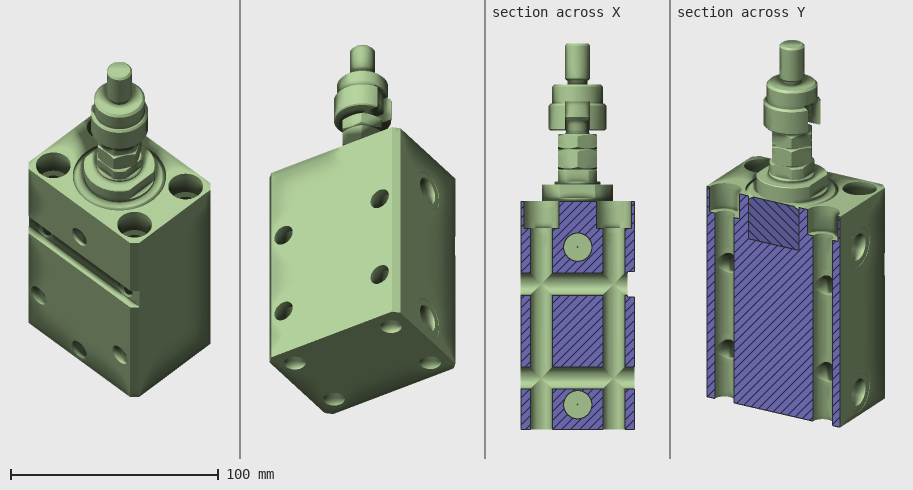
import cadquery as cq
import math


block_x = 75.0
block_y = 55.0
block_top = 110.1
block_chamfer = 3.0
bolt_x = 27.5
bolt_y = 17.5
bolt_hole_d = 10.5
counterbore_d = 16.7
counterbore_depth = 13.0
key_groove_z = 70.1
key_groove_height = 11.9
key_groove_depth = 3.3
lower_cross_hole_z = 25.0
upper_port_z = 88.0
lower_port_z = 12.0
port_d = 13.4
port_depth = 11.2
spotface_d = 20.0
spotface_depth = 0.2
lower_plug_z = 7.5
plug_d = 10.0
plug_depth = 2.0
channel_d = 1.0
channel_depth = 1.9

gland_d = 45.0
gland_depth = 22.3
gland_chamfer = 1.7
boss_d = 34.5
boss_top = 118.1
boss_chamfer = 0.4
boss_flats = 30.0
boss_flats_z = 111.6

rod_d = 22.3
rod_shoulder_z = 119.6
rod_shoulder_chamfer = 0.5
rod_end_d = 21.8
rod_end_chamfer = 0.5

wrench_size = 19.0
hex_sides = 6
hex_face_d = 17.9
stud_bottom = 125.4
hex_split_z = 135.0
hex_top = 142.3
hex_chamfer_angle = 30
neck_d = 11.2
neck_foot_d = 12.3
neck_foot_height = 1.0
head_bottom = 149.0
head_top = 158.1
head_d = 20.5
head_chamfer = 1.5

collar_bottom = 144.2
collar_top = 157.0
collar_d = 27.7
collar_top_chamfer = 1.0
collar_bottom_chamfer = 0.5
cap_top = 166.3
cap_d = 24.5
cap_chamfer = 1.1
slot_width = 12.0
undercut_d = 9.7
undercut_top = 168.1
thread_d = 12.0
thread_chamfer = 1.0
coupler_top = 186.0


def cylinder(diameter, bottom, top):
    """Vertical cylinder on the common axis."""
    return cq.Workplane("XY").workplane(offset=bottom).circle(diameter / 2).extrude(top - bottom)


def cone(bottom_d, top_d, bottom, top):
    """Vertical cone frustum on the common axis."""
    frustum = cq.Solid.makeCone(bottom_d / 2, top_d / 2, top - bottom, pnt=cq.Vector(0, 0, bottom))
    return cq.Workplane("XY").newObject([frustum])


def drill_front(x, z, diameter, start, depth):
    """Cutter along +Y, starting at a given depth below the -Y face."""
    plane = cq.Plane(origin=(x, start - block_y / 2, z), xDir=(1, 0, 0), normal=(0, 1, 0))
    return cq.Workplane(plane).circle(diameter / 2).extrude(depth)


def drill_side(z, diameter, start, depth):
    """Cutter along +X on y = 0, starting at a given depth below the -X face."""
    plane = cq.Plane(origin=(start - block_x / 2, 0, z), xDir=(0, 1, 0), normal=(1, 0, 0))
    return cq.Workplane(plane).circle(diameter / 2).extrude(depth)


def make_block():
    block = cq.Workplane("XY").box(block_x, block_y, block_top, centered=(True, True, False))
    block = block.edges("|Z").chamfer(block_chamfer)

    groove = cq.Workplane("XY").box(block_x, 2 * key_groove_depth, key_groove_height)
    block = block.cut(groove.translate((0, -block_y / 2, key_groove_z)))

    bolt_places = [(x, y) for x in (-bolt_x, bolt_x) for y in (-bolt_y, bolt_y)]
    block = (
        block.faces(">Z").workplane(origin=(0, 0, block_top))
        .pushPoints(bolt_places)
        .cboreHole(bolt_hole_d, counterbore_d, counterbore_depth)
    )

    for x in (-bolt_x, bolt_x):
        for z in (lower_cross_hole_z, key_groove_z):
            block = block.cut(drill_front(x, z, bolt_hole_d, 0, block_y))

    for z in (lower_port_z, upper_port_z):
        block = block.cut(drill_side(z, spotface_d, 0, spotface_depth))
        block = block.cut(drill_side(z, port_d, 0, port_depth))
        block = block.cut(drill_side(z, channel_d, port_depth, channel_depth))

    for z in (lower_plug_z, upper_port_z):
        block = block.cut(drill_front(0, z, plug_d, 0, plug_depth))
        block = block.cut(drill_front(0, z, channel_d, plug_depth, channel_depth))

    return block.cut(cylinder(gland_d, block_top - gland_depth, block_top))


def make_gland():
    gland = cylinder(gland_d, block_top - gland_depth, block_top)
    gland = gland.faces(">Z").chamfer(gland_chamfer)
    boss = cylinder(boss_d, block_top, boss_top).faces(">Z").chamfer(boss_chamfer)
    gland = gland.union(boss)

    for side in (-1, 1):
        flat_cut = cq.Workplane("XY").box(boss_d, boss_d, boss_top, centered=(True, True, False))
        gland = gland.cut(flat_cut.translate((side * (boss_flats + boss_d) / 2, 0, boss_flats_z)))

    return gland.cut(cylinder(rod_d, block_top - gland_depth, boss_top))


def make_rod():
    rod = cylinder(rod_d, block_top - gland_depth, rod_shoulder_z)
    rod = rod.faces(">Z").chamfer(rod_shoulder_chamfer)

    rod_end = cylinder(rod_end_d, rod_shoulder_z, stud_bottom).faces(">Z").chamfer(rod_end_chamfer)
    square = cq.Workplane("XY").rect(wrench_size, wrench_size).extrude(stud_bottom)
    return rod.union(rod_end.intersect(square))


def make_hexagon(bottom, top):
    """Hexagon with corners on the X axis and both ends turned to a cone."""
    corner_d = wrench_size / math.cos(math.pi / hex_sides)
    hexagon = cq.Workplane("XY").workplane(offset=bottom).polygon(hex_sides, corner_d).extrude(top - bottom)
    chamfer_height = (corner_d - hex_face_d) / 2 * math.tan(math.radians(hex_chamfer_angle))
    lower_edge = bottom + chamfer_height
    upper_edge = top - chamfer_height
    turned = (
        cone(hex_face_d, corner_d, bottom, lower_edge)
        .union(cylinder(corner_d, lower_edge, upper_edge))
        .union(cone(corner_d, hex_face_d, upper_edge, top))
    )
    return hexagon.intersect(turned)


def make_stud():
    stud = make_hexagon(stud_bottom, hex_split_z).union(make_hexagon(hex_split_z, hex_top))
    stud = stud.union(cylinder(neck_d, hex_top, head_bottom))

    stud = stud.union(cone(neck_foot_d, neck_d, hex_top, hex_top + neck_foot_height))

    head = cylinder(head_d, head_bottom, head_top).faces("<Z").chamfer(head_chamfer)
    return stud.union(head)


def make_coupler():
    collar = cylinder(collar_d, collar_bottom, collar_top)
    collar = collar.faces(">Z").chamfer(collar_top_chamfer)
    collar = collar.faces("<Z").chamfer(collar_bottom_chamfer)
    cap = cylinder(cap_d, collar_top, cap_top).faces(">Z").chamfer(cap_chamfer)
    undercut = cylinder(undercut_d, cap_top, undercut_top)
    thread = cylinder(thread_d, undercut_top, coupler_top).faces("<Z or >Z").chamfer(thread_chamfer)
    coupler = collar.union(cap).union(undercut).union(thread)

    slot_height = head_top - collar_bottom
    slot = cq.Workplane("XY").box(collar_d, slot_width, slot_height, centered=(False, True, False))
    slot = slot.translate((-collar_d, 0, collar_bottom))
    slot_end = cylinder(slot_width, collar_bottom, head_top)
    chamber = cylinder(head_d, head_bottom, head_top)
    return coupler.cut(slot).cut(slot_end).cut(chamber)


block = make_block()
gland = make_gland()
rod = make_rod()
stud = make_stud()
coupler = make_coupler()

result = cq.Compound.makeCompound([
    block.val(),
    gland.val(),
    rod.val(),
    stud.val(),
    coupler.val(),
])